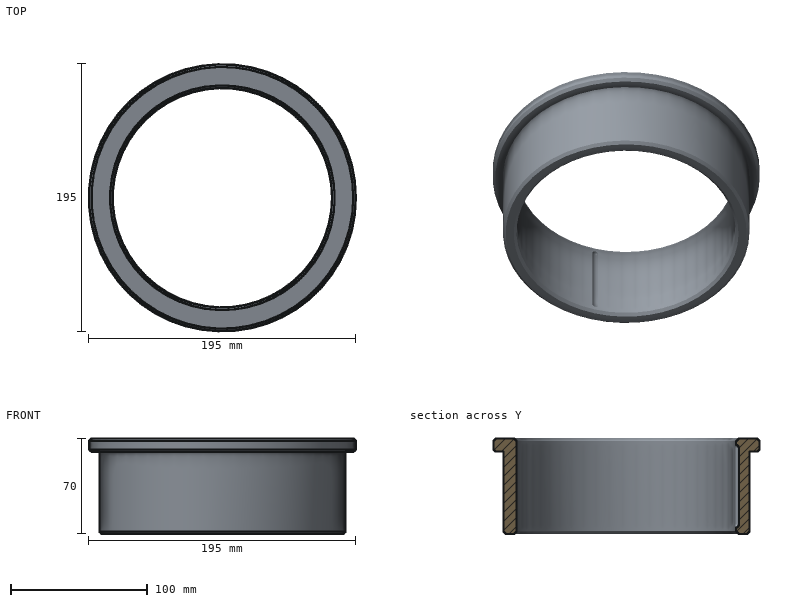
import cadquery as cq

total_height = 70.0
bore_diameter = 160.0
body_diameter = 180.0
flange_diameter = 195.0
flange_thickness = 10.0
chamfer = 2.0

groove_radius = 2.25
groove_depth = 2.0
groove_end_margin = 5.0
groove_bottom = groove_end_margin
groove_top = total_height - groove_end_margin


def flanged_sleeve():
    """Revolved half-section of the sleeve, with every free rim chamfered."""
    bore_radius = bore_diameter / 2
    body_radius = body_diameter / 2
    flange_radius = flange_diameter / 2
    flange_underside = total_height - flange_thickness
    section = [
        (bore_radius, chamfer),
        (bore_radius + chamfer, 0),
        (body_radius - chamfer, 0),
        (body_radius, chamfer),
        (body_radius, flange_underside),
        (flange_radius - chamfer, flange_underside),
        (flange_radius, flange_underside + chamfer),
        (flange_radius, total_height - chamfer),
        (flange_radius - chamfer, total_height),
        (bore_radius + chamfer, total_height),
        (bore_radius, total_height - chamfer),
    ]
    return cq.Workplane("XZ").polyline(section).close().revolve(360, (0, 0), (0, 1))


def groove_cutter():
    """Round rod with hemispherical ends, sunk into the bore wall by the groove depth."""
    axis_offset = bore_diameter / 2 + groove_depth - groove_radius
    lower_centre = groove_bottom + groove_radius
    upper_centre = groove_top - groove_radius
    rod = (
        cq.Workplane("XY", origin=(axis_offset, 0, lower_centre))
        .circle(groove_radius)
        .extrude(upper_centre - lower_centre)
    )
    for end_height in (lower_centre, upper_centre):
        ball = cq.Workplane("XY", origin=(axis_offset, 0, end_height)).sphere(groove_radius)
        rod = rod.union(ball)
    return rod


result = flanged_sleeve().cut(groove_cutter())